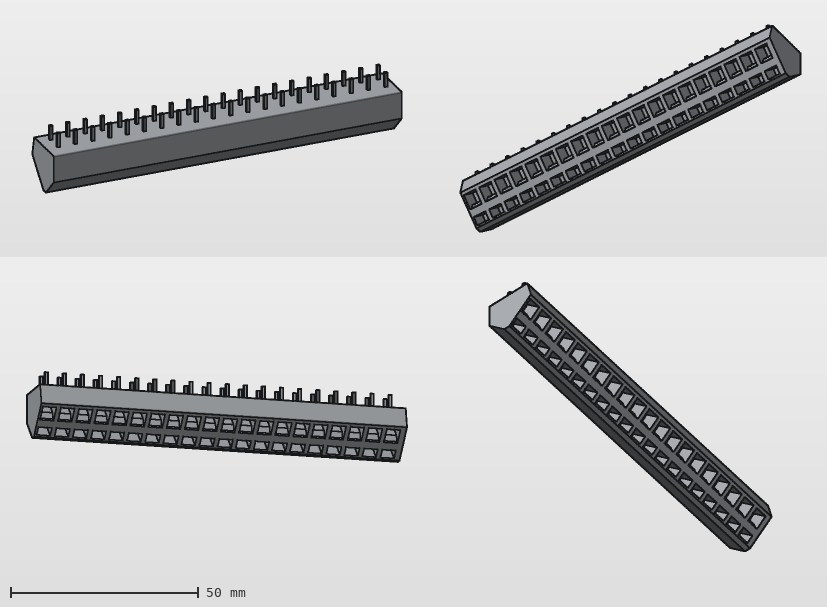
import cadquery as cq

length = 101.0
width = 14.2
body_height = 12.9
pin_height = 4.0
pole_count = 20
end_wall = 1.0
pitch = (length - end_wall) / pole_count

tip_height = 7.4
tip_flat = 0.3
top_setback = 1.2
right_corner_height = 5.2
top_edge_radius = 0.2

pin_size = 0.8
pin_rows = 2
pin_row_x = 4.2
pin_row_spacing = pitch

opening_width = 3.7
opening_depth = 4.0
lever_top = 6.7
lever_bottom = 3.7
ledge_depth = 0.6
lever_face_height = 1.8
lever_face_lean = 0.4
wire_top = 2.1
wire_bottom = 0.4

back_end = length / 2
pole_positions = [back_end - pitch * (i + 0.5) for i in range(pole_count)]


def extrude_along_y(points, y_centre, thickness):
    """Extrude an X-Z outline to a given thickness, centred on y_centre."""
    plane = cq.Workplane("XZ", origin=(0, y_centre, 0))
    return plane.polyline(points).close().extrude(thickness / 2, both=True)


def on_wiring_face(height):
    """Point of the wiring face at a given height."""
    return (tip_height - height, height)


def inward(point, rise):
    """Point moved square to the wiring face, into the body."""
    return (point[0] + rise, point[1] + rise)


def make_body():
    outline = [
        (0, tip_height),
        on_wiring_face(0),
        (width - right_corner_height, 0),
        (width, right_corner_height),
        (width, body_height),
        (top_setback, body_height),
        (0, tip_height + tip_flat),
    ]
    body = extrude_along_y(outline, 0, length)
    return body.faces(">Z").edges("|Y").fillet(top_edge_radius)


def make_wire_hole(y):
    top = on_wiring_face(wire_top)
    bottom = on_wiring_face(wire_bottom)
    outline = [top, bottom, inward(bottom, opening_depth), inward(top, opening_depth)]
    return extrude_along_y(outline, y, opening_width)


def make_lever_pocket(y):
    top = on_wiring_face(lever_top)
    bottom = on_wiring_face(lever_bottom)
    ledge = inward(bottom, ledge_depth)
    lever_edge = (ledge[0] + lever_face_lean, ledge[1] + lever_face_height)
    deep_top = inward(top, opening_depth)
    shift = (deep_top[0] + deep_top[1] - lever_edge[0] - lever_edge[1]) / 2
    outline = [top, bottom, ledge, lever_edge, inward(lever_edge, shift), deep_top]
    return extrude_along_y(outline, y, opening_width)


def make_pin(x, y):
    pin = cq.Workplane("XY").box(pin_size, pin_size, pin_height, centered=(True, True, False))
    return pin.translate((x, y, body_height))


result = make_body()
for pole_y in pole_positions:
    result = result.cut(make_wire_hole(pole_y)).cut(make_lever_pocket(pole_y))
    for row in range(pin_rows):
        result = result.union(make_pin(pin_row_x + row * pin_row_spacing, pole_y))